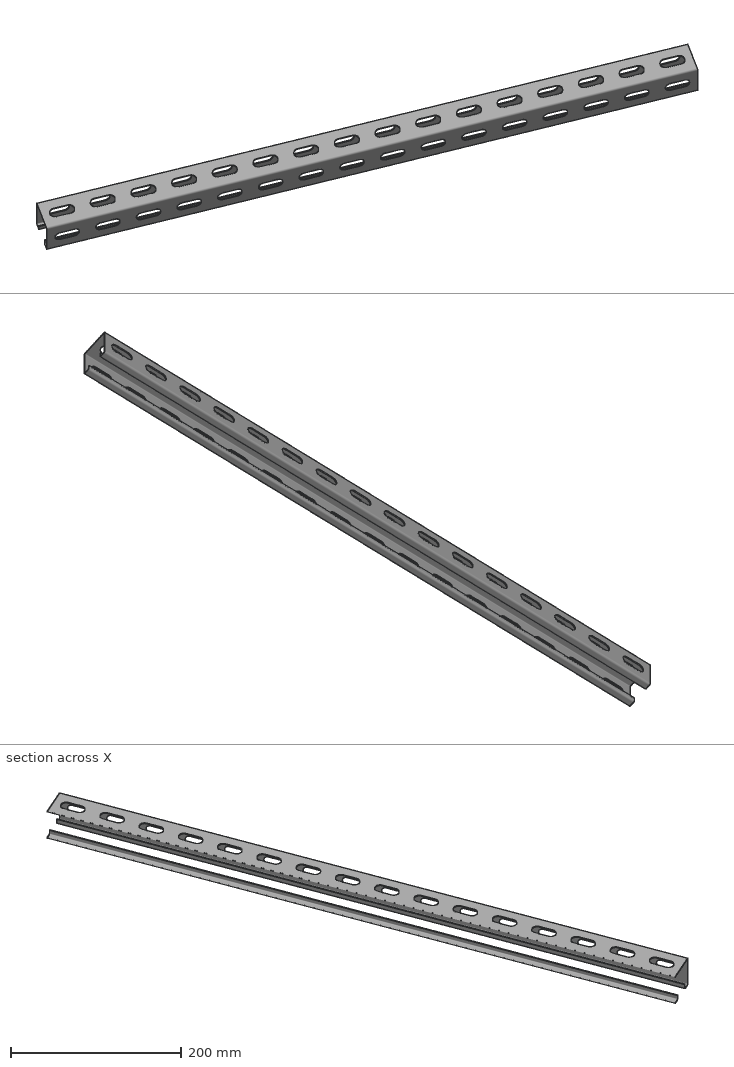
import cadquery as cq

length = 800.0
wall = 1.5
bend_radius = 2.5
flat_width = 36.0
side = flat_width + 2 * bend_radius
mouth_width = 21.0
lip_height = 7.0

slot_count = 16
slot_pitch = length / slot_count
slot_gap = 20.0
slot_length = slot_pitch - slot_gap
slot_width = 13.0
slot_cut_depth = 2 * wall

half_side = side / 2
half_mouth = mouth_width / 2


def mirrored(points):
    """Run a right-hand (x, z) path on into its mirror image across x = 0."""
    return points + [(-x, z) for x, z in reversed(points)]


def fillet_folds(body, folds, radius):
    """Round the lengthwise edges that pass through the given (x, z) corners."""
    for x, z in folds:
        body = body.edges(cq.selectors.NearestToPointSelector((x, 0, z))).fillet(radius)
    return body


def folded_channel():
    """C section with upturned lips, folded at six rounded bends."""
    outer_folds = mirrored([
        (half_mouth, -half_side),
        (half_side, -half_side),
        (half_side, half_side),
    ])
    inner_folds = mirrored([
        (half_mouth + wall, wall - half_side),
        (half_side - wall, wall - half_side),
        (half_side - wall, half_side - wall),
    ])
    lip_top = lip_height - half_side
    outline = (
        [(half_mouth, lip_top)]
        + outer_folds
        + [(-half_mouth, lip_top), (-half_mouth - wall, lip_top)]
        + inner_folds[::-1]
        + [(half_mouth + wall, lip_top)]
    )
    body = cq.Workplane("XZ").polyline(outline).close().extrude(length / 2, both=True)
    body = fillet_folds(body, outer_folds, bend_radius)
    return fillet_folds(body, inner_folds, bend_radius - wall)


def slot_row():
    """Cutters for one row of lengthwise slots, rising through the top wall."""
    return (
        cq.Workplane("XY")
        .workplane(offset=half_side - slot_cut_depth)
        .rarray(8, slot_pitch, 1, slot_count)
        .slot2D(slot_length, slot_width, 90)
        .extrude(2 * slot_cut_depth)
    )


result = folded_channel()
for wall_angle in (-90, 0, 90):
    result = result.cut(slot_row().rotate((0, 0, 0), (0, 1, 0), wall_angle))